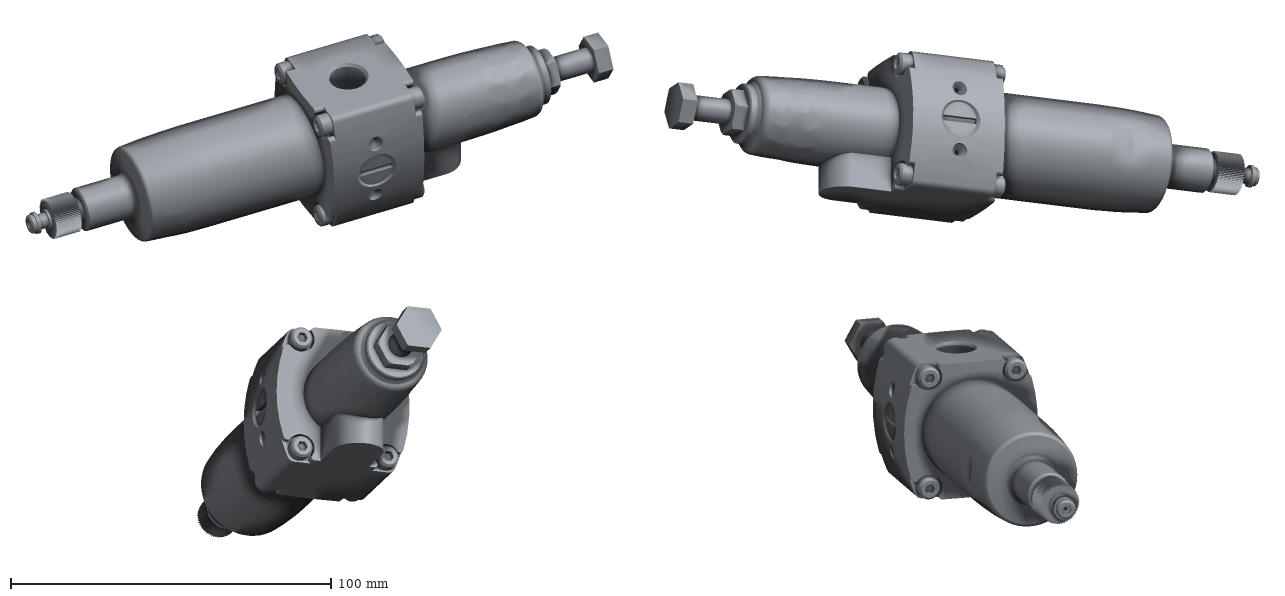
import cadquery as cq
import math


overall_length = 198.08

block_half = 22.0
block_back = 18.1
block_front = -16.8
block_mid = (block_back + block_front) / 2
side_radius = 52.0
corner_fillet = 2.5
end_crown = 1.9

port_mouth_dia = 13.16
port_dia = 11.45
port_depth = 12.0
mouth_depth = (port_mouth_dia - port_dia) / 2
plug_recess = mouth_depth
plug_slot_width = 1.8
plug_slot_depth = 1.5

side_hole_spacing = 20.4
side_hole_dia = 1.5
side_hole_mouth_dia = 4.8
side_hole_rim_depth = 0.6
side_hole_depth = 6.0

screw_x = 14.25
screw_z = 18.0
screw_head_dia = 7.0
screw_head_height = 4.1
screw_head_chamfer = 0.7
socket_across_flats = 3.0
socket_depth = 2.0
recess_dia = 8.64
recess_depth = 3.6
recess_lip = 1.15
side_wall_z = 15.75
side_lip_x = 19.8
outside_margin = 1.0

bonnet_seat_y = 17.0
bonnet_radius = 13.5
bonnet_straight_end = 34.0
bonnet_shoulder_y = 60.5
bonnet_shoulder_radius = 12.4
bonnet_face_radius = 11.2
bonnet_face_y = 62.4
bonnet_neck_radius = 10.4
bonnet_neck_y = 62.7
collar_radius = 9.5
collar_base_y = 63.7
collar_edge = 0.4
bonnet_end = 66.0
foot_half_width = 8.0
foot_end = 38.3

adjuster_dia = 8.0
adjuster_depth = 12.0
hex_across_flats = 13.0
bolt_head_height = 5.0
bolt_end = 88.2
nut_height = 4.3
nut_chamfer = 0.6

bowl_seat_y = -15.6
bowl_radius = 16.5
bowl_straight_end = -53.7
bowl_rim_y = -74.0
bowl_rim_radius = 15.4
bowl_face_y = -75.2
bowl_face_radius = 14.0
stem_radius = 7.0
stem_base_radius = 8.9
stem_base_y = -75.8
stem_fillet_end = -77.2
stem_end = -92.6
stem_edge = 0.5
stem_fillet_bow = 0.35

drain_end = bolt_end - overall_length
neck_radius = 4.1
knob_back = -94.6
knob_front = -103.2
knob_radius = 6.5
knurl_depth = 0.7
knurl_count = 72
shoulder_radius = 3.325
shoulder_front = -104.1
nipple_radius = 2.475
tip_radius = 3.0
tip_chamfer = 0.5
bead_radius = 3.5
bead_back = -107.1
bead_front = -108.2
drain_bore_dia = 1.5
drain_bore_depth = 8.0
drain_mouth_dia = 3.24
drain_mouth_depth = 1.0


def cylinder_y(diameter, y_from, y_to, x=0.0, z=0.0):
    """Cylinder along Y between two Y positions."""
    axis = cq.Vector(0, math.copysign(1, y_to - y_from), 0)
    start = cq.Vector(x, y_from, z)
    return cq.Workplane(cq.Solid.makeCylinder(diameter / 2, abs(y_to - y_from), start, axis))


def corner_diameter(across_flats):
    """Diameter across the corners of a hexagon."""
    return across_flats / math.cos(math.pi / 6)


def hexagon_y(across_flats, y_from, y_to, x=0.0, z=0.0):
    """Hexagonal prism along Y with its corners on the X direction."""
    plane = cq.Workplane("XZ", origin=(x, y_from, z))
    return plane.polygon(6, corner_diameter(across_flats)).extrude(y_from - y_to)


def turn(half_profile):
    """Revolve a closed radius-Y half profile about the Y axis."""
    return half_profile.close().revolve(360, (0, 0), (0, 1))


def block_blank():
    corner_x = block_half - side_radius + math.sqrt(side_radius**2 - block_half**2)
    blank = (
        cq.Workplane("XZ", origin=(0, block_back, 0))
        .moveTo(-corner_x, block_half)
        .lineTo(corner_x, block_half)
        .threePointArc((block_half, 0), (corner_x, -block_half))
        .lineTo(-corner_x, -block_half)
        .threePointArc((-block_half, 0), (-corner_x, block_half))
        .close()
        .extrude(block_back - block_front)
        .edges("|Y")
        .fillet(corner_fillet)
    )
    crowned_plan = (
        cq.Workplane("XY", origin=(0, 0, -block_half))
        .moveTo(-block_half, block_back - end_crown)
        .threePointArc((0, block_back), (block_half, block_back - end_crown))
        .lineTo(block_half, block_front + end_crown)
        .threePointArc((0, block_front), (-block_half, block_front + end_crown))
        .close()
        .extrude(2 * block_half)
    )
    return blank.intersect(crowned_plan)


def recess_tool():
    """Recess at the +X +Z corner of the back face, open to the outside between two rounded lips."""
    radius = recess_dia / 2
    y_floor = block_back - recess_depth
    far = block_half + outside_margin
    lip_diagonal = recess_lip * math.sqrt(0.5)
    top_center_z = block_half - recess_lip
    top_wall_x = screw_x - math.sqrt(radius**2 - (top_center_z - screw_z) ** 2)
    top_center_x = top_wall_x - recess_lip
    side_center_z = side_wall_z - recess_lip
    side_center_x = side_lip_x - recess_lip
    opening = (
        cq.Workplane("XZ", origin=(0, block_back, 0))
        .moveTo(screw_x, side_wall_z)
        .lineTo(top_wall_x, top_center_z)
        .threePointArc(
            (top_center_x + lip_diagonal, top_center_z + lip_diagonal),
            (top_center_x, block_half),
        )
        .lineTo(top_center_x, far)
        .lineTo(far, far)
        .lineTo(far, side_center_z)
        .lineTo(side_lip_x, side_center_z)
        .threePointArc(
            (side_center_x + lip_diagonal, side_center_z + lip_diagonal),
            (side_center_x, side_wall_z),
        )
        .close()
        .extrude(recess_depth)
    )
    return opening.union(cylinder_y(recess_dia, block_back, y_floor, screw_x, screw_z))


def screw_head():
    """Socket head standing on the recess floor at the +X +Z corner of the back face."""
    y_floor = block_back - recess_depth
    y_top = y_floor + screw_head_height
    head = cylinder_y(screw_head_dia, y_floor, y_top, screw_x, screw_z)
    head = head.faces(">Y").chamfer(screw_head_chamfer)
    socket = hexagon_y(socket_across_flats, y_top, y_top - socket_depth, screw_x, screw_z)
    return head.cut(socket)


def at_block_corners(corner):
    """Copies of a +X +Z back-corner shape at the four corners of both end faces."""
    across = corner.mirror("YZ")
    back = [corner, across, corner.mirror("XY"), across.mirror("XY")]
    front = [shape.mirror("XZ", (0, block_mid, 0)) for shape in back]
    return back + front


def port_mouth(depth):
    """Countersunk port along -Z from the top of the block."""
    bore = cq.Workplane("XY", origin=(0, 0, block_half)).circle(port_dia / 2).extrude(-depth)
    mouth = cq.Solid.makeCone(
        port_dia / 2, port_mouth_dia / 2, mouth_depth, cq.Vector(0, 0, block_half - mouth_depth)
    )
    return bore.union(cq.Workplane(mouth))


def side_features():
    """Slotted plug recess and two countersunk holes, cut into the +X side."""
    cutter = port_mouth(plug_recess).rotate((0, 0, 0), (0, 1, 0), 90)
    slot_bottom = block_half - plug_recess - plug_slot_depth
    slot = cq.Workplane("XY").box(plug_slot_depth, port_dia, plug_slot_width, centered=(False, True, True))
    cutter = cutter.union(slot.translate((slot_bottom, 0, 0)))
    hole_z = side_hole_spacing / 2
    face_x = block_half - side_radius + math.sqrt(side_radius**2 - hole_z**2)
    sink_depth = (side_hole_mouth_dia - side_hole_dia) / 2
    hole = (
        cq.Workplane("XZ")
        .polyline([
            (0, face_x - side_hole_depth),
            (side_hole_dia / 2, face_x - side_hole_depth),
            (side_hole_dia / 2, face_x - side_hole_rim_depth - sink_depth),
            (side_hole_mouth_dia / 2, face_x - side_hole_rim_depth),
            (side_hole_mouth_dia / 2, block_half),
            (0, block_half),
        ])
        .close()
        .revolve(360, (0, 0), (0, 1))
        .rotate((0, 0, 0), (0, 1, 0), 90)
    )
    for z in (-hole_z, hole_z):
        cutter = cutter.union(hole.translate((0, 0, z)))
    return cutter


def make_housing():
    body = block_blank().cut(port_mouth(port_depth))
    side_cut = side_features()
    body = body.cut(side_cut).cut(side_cut.mirror("YZ"))
    for recess in at_block_corners(recess_tool()):
        body = body.cut(recess)
    for head in at_block_corners(screw_head()):
        body = body.union(head)
    bonnet_seat = cylinder_y(2 * bonnet_radius, bonnet_seat_y, block_back)
    bowl_seat = cylinder_y(2 * bowl_radius, bowl_seat_y, block_front)
    return body.cut(bonnet_seat).cut(bowl_seat).cut(bonnet_foot())


def bonnet_foot():
    """Round-ended foot below the bonnet, reaching down to the bottom of the block."""
    center_y = foot_end - foot_half_width
    length = center_y - bonnet_seat_y
    plan = cq.Workplane("XY", origin=(0, 0, -block_half))
    bar = plan.center(0, bonnet_seat_y + length / 2).rect(2 * foot_half_width, length).extrude(block_half)
    end = plan.center(0, center_y).circle(foot_half_width).extrude(block_half)
    return bar.union(end)


def make_bonnet():
    profile = (
        cq.Workplane("XY")
        .moveTo(0, bonnet_seat_y)
        .lineTo(bonnet_radius, bonnet_seat_y)
        .lineTo(bonnet_radius, bonnet_straight_end)
        .tangentArcPoint((bonnet_shoulder_radius, bonnet_shoulder_y), relative=False)
        .tangentArcPoint((bonnet_face_radius, bonnet_face_y), relative=False)
        .lineTo(bonnet_neck_radius, bonnet_neck_y)
        .lineTo(collar_radius, collar_base_y)
        .lineTo(collar_radius, bonnet_end - collar_edge)
        .lineTo(collar_radius - collar_edge, bonnet_end)
        .lineTo(0, bonnet_end)
    )
    bore = cylinder_y(adjuster_dia, bonnet_end, bonnet_end - adjuster_depth)
    return turn(profile).union(bonnet_foot()).cut(bore)


def make_adjusting_screw():
    head = hexagon_y(hex_across_flats, bolt_end - bolt_head_height, bolt_end)
    shank = cylinder_y(adjuster_dia, bonnet_end - adjuster_depth, bolt_end - bolt_head_height)
    return head.union(shank)


def make_lock_nut():
    nut_end = bonnet_end + nut_height
    rounding = cylinder_y(corner_diameter(hex_across_flats), bonnet_end, nut_end)
    rounding = rounding.faces(">Y").chamfer(nut_chamfer)
    hole = cylinder_y(adjuster_dia, bonnet_end, nut_end)
    return hexagon_y(hex_across_flats, bonnet_end, nut_end).intersect(rounding).cut(hole)


def make_bowl():
    fillet_mid_radius = (stem_base_radius + stem_radius) / 2 - stem_fillet_bow
    fillet_mid_y = (stem_base_y + stem_fillet_end) / 2 + stem_fillet_bow
    profile = (
        cq.Workplane("XY")
        .moveTo(0, bowl_seat_y)
        .lineTo(bowl_radius, bowl_seat_y)
        .lineTo(bowl_radius, bowl_straight_end)
        .tangentArcPoint((bowl_rim_radius, bowl_rim_y), relative=False)
        .tangentArcPoint((bowl_face_radius, bowl_face_y), relative=False)
        .lineTo(stem_base_radius, stem_base_y)
        .threePointArc((fillet_mid_radius, fillet_mid_y), (stem_radius, stem_fillet_end))
        .lineTo(stem_radius, stem_end + stem_edge)
        .lineTo(stem_radius - stem_edge, stem_end)
        .lineTo(0, stem_end)
    )
    return turn(profile)


def knurled_knob():
    root_radius = knob_radius - knurl_depth
    points = []
    for tooth in range(knurl_count):
        crest_angle = 2 * math.pi * tooth / knurl_count
        root_angle = crest_angle + math.pi / knurl_count
        points.append((knob_radius * math.cos(crest_angle), knob_radius * math.sin(crest_angle)))
        points.append((root_radius * math.cos(root_angle), root_radius * math.sin(root_angle)))
    plane = cq.Workplane("XZ", origin=(0, knob_back, 0))
    return plane.polyline(points).close().extrude(knob_back - knob_front)


def make_drain_valve():
    neck = cylinder_y(2 * neck_radius, stem_end, knob_back)
    shoulder = cylinder_y(2 * shoulder_radius, knob_front, shoulder_front)
    nipple = cylinder_y(2 * nipple_radius, knob_front, drain_end)
    bead = cylinder_y(2 * bead_radius, bead_back, bead_front)
    tip = cylinder_y(2 * tip_radius, bead_front, drain_end).faces("<Y").chamfer(tip_chamfer)
    bore = cylinder_y(drain_bore_dia, drain_end, drain_end + drain_bore_depth)
    mouth = cylinder_y(drain_mouth_dia, drain_end, drain_end + drain_mouth_depth)
    valve = knurled_knob().union(neck).union(shoulder).union(nipple).union(bead).union(tip)
    return valve.cut(bore).cut(mouth)


housing = make_housing()
bonnet = make_bonnet()
adjusting_screw = make_adjusting_screw()
lock_nut = make_lock_nut()
bowl = make_bowl()
drain_valve = make_drain_valve()

result = cq.Compound.makeCompound([
    housing.val(),
    bonnet.val(),
    adjusting_screw.val(),
    lock_nut.val(),
    bowl.val(),
    drain_valve.val(),
])